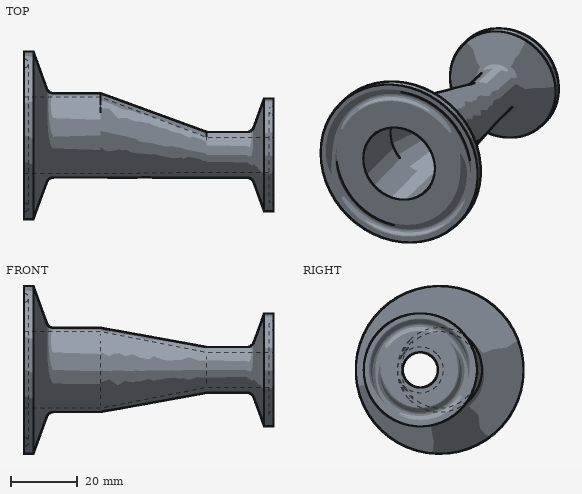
import cadquery as cq
import math

length = 75.0
large_flange_diameter = 50.5
large_tube_diameter = 25.4
large_bore_diameter = 23.0
small_flange_diameter = 34.0
small_tube_diameter = 13.8
small_bore_diameter = 10.5
cone_start = 23.0
cone_end = 54.9

small_axis_y = -(large_tube_diameter - small_tube_diameter) / 2

rim_thickness = 2.85
flange_back_angle = math.radians(20)
neck_fillet = 2.0
groove_inset = 3.6
groove_half_width = 1.99
groove_lip_radius = 0.75
groove_wall_angle = math.radians(70)


def ferrule(flange_diameter, tube_diameter, tube_length):
    """Solid ferrule with its clamp face on X = 0 and its tube running to +X."""
    flange_radius = flange_diameter / 2
    tube_radius = tube_diameter / 2
    neck_x = rim_thickness + (flange_radius - tube_radius) * math.tan(flange_back_angle)

    fillet_end_x = neck_x + neck_fillet * math.tan(math.pi / 4 - flange_back_angle / 2)
    fillet_center_r = tube_radius + neck_fillet
    half_turn = (math.pi / 2 - flange_back_angle) / 2

    def fillet_point(angle):
        return (fillet_end_x - neck_fillet * math.sin(angle),
                fillet_center_r - neck_fillet * math.cos(angle))

    profile = (
        cq.Workplane("XY")
        .moveTo(0, 0)
        .lineTo(0, flange_radius)
        .lineTo(rim_thickness, flange_radius)
        .lineTo(*fillet_point(2 * half_turn))
        .threePointArc(fillet_point(half_turn), fillet_point(0))
        .lineTo(tube_length, tube_radius)
        .lineTo(tube_length, 0)
        .close()
    )
    body = profile.revolve(360, (0, 0, 0), (1, 0, 0))
    return body.cut(gasket_groove(flange_radius - groove_inset))


def gasket_groove(center_radius):
    """Ring with a round bottom and rounded lips, sunk into the face on X = 0."""
    center_distance = groove_half_width / math.sin(groove_wall_angle)
    bottom_radius = center_distance - groove_lip_radius
    bottom_center_x = groove_lip_radius - center_distance * math.cos(groove_wall_angle)

    def lip_point(side, angle):
        offset = groove_half_width - groove_lip_radius * math.sin(angle)
        return (groove_lip_radius * (1 - math.cos(angle)), center_radius + side * offset)

    profile = (
        cq.Workplane("XY")
        .moveTo(*lip_point(-1, 0))
        .threePointArc(lip_point(-1, groove_wall_angle / 2), lip_point(-1, groove_wall_angle))
        .threePointArc((bottom_center_x + bottom_radius, center_radius), lip_point(1, groove_wall_angle))
        .threePointArc(lip_point(1, groove_wall_angle / 2), lip_point(1, 0))
        .close()
    )
    return profile.revolve(360, (0, 0, 0), (1, 0, 0))


def offset_cone(large_diameter, small_diameter):
    """Cone between the large axis and the lowered small axis."""
    return (
        cq.Workplane("YZ", origin=(cone_start, 0, 0))
        .circle(large_diameter / 2)
        .workplane(offset=cone_end - cone_start)
        .center(small_axis_y, 0)
        .circle(small_diameter / 2)
        .loft(ruled=True, combine=True)
    )


def cylinder(diameter, start, end, axis_y):
    """Round bar along X."""
    return cq.Workplane("YZ", origin=(start, axis_y, 0)).circle(diameter / 2).extrude(end - start)


large_end = ferrule(large_flange_diameter, large_tube_diameter, cone_start)
small_end = (
    ferrule(small_flange_diameter, small_tube_diameter, length - cone_end)
    .rotate((0, 0, 0), (0, 0, 1), 180)
    .translate((length, small_axis_y, 0))
)
body = large_end.union(offset_cone(large_tube_diameter, small_tube_diameter)).union(small_end)

passage = (
    cylinder(large_bore_diameter, 0, cone_start, 0)
    .union(offset_cone(large_bore_diameter, small_bore_diameter))
    .union(cylinder(small_bore_diameter, cone_end, length, small_axis_y))
)
result = body.cut(passage)